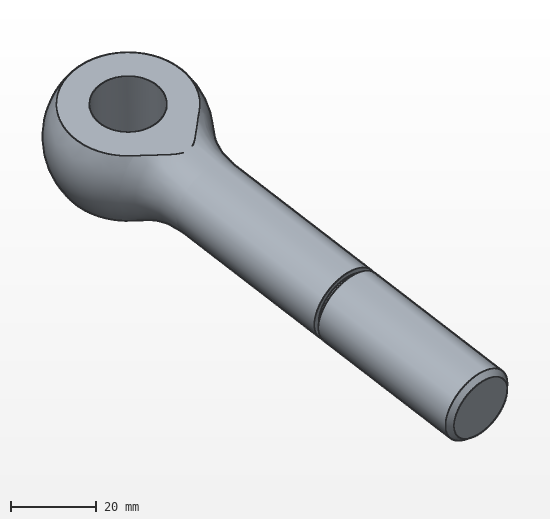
import cadquery as cq
import math

total_length = 139.9
ball_radius = 20.0
eye_thickness = 22.0
hole_diameter = 18.0
shank_radius = 10.0
neck_radius = 21.4
end_chamfer = 1.4
groove_start = 93.9
groove_width = 1.4
groove_depth = 1.4

ball_center = ball_radius
half_thickness = eye_thickness / 2

neck_center_height = shank_radius + neck_radius
center_distance = ball_radius + neck_radius
neck_run = math.sqrt(center_distance**2 - neck_center_height**2)
neck_end = ball_center + neck_run


def neck_arc_point(angle):
    """Point on the neck arc, angle measured from straight down toward the ball."""
    return (
        neck_end - neck_radius * math.sin(angle),
        neck_center_height - neck_radius * math.cos(angle),
    )


def revolved_body():
    """Ball, neck and chamfered shank turned about the X axis."""
    tangent_angle = math.asin(neck_run / center_distance)
    ball_top = (ball_center, ball_radius)
    ball_mid = (
        ball_center - ball_radius * math.cos(math.pi / 4),
        ball_radius * math.sin(math.pi / 4),
    )
    tangent_point = neck_arc_point(tangent_angle)
    front_mid = (
        ball_center + ball_radius * math.sin(tangent_angle / 2),
        ball_radius * math.cos(tangent_angle / 2),
    )
    profile = (
        cq.Workplane("XY")
        .moveTo(0, 0)
        .threePointArc(ball_mid, ball_top)
        .threePointArc(front_mid, tangent_point)
        .threePointArc(neck_arc_point(tangent_angle / 2), (neck_end, shank_radius))
        .lineTo(total_length - end_chamfer, shank_radius)
        .lineTo(total_length, shank_radius - end_chamfer)
        .lineTo(total_length, 0)
        .close()
    )
    return profile.revolve(360, (0, 0, 0), (1, 0, 0))


def flat_faced(body):
    """Keep only the slab of the eye thickness, giving flat faces above and below."""
    slab = cq.Workplane("XY").box(total_length, 2 * ball_radius, eye_thickness)
    return body.intersect(slab.translate((total_length / 2, 0, 0)))


def eye_hole():
    return (
        cq.Workplane("XY", origin=(ball_center, 0, -half_thickness))
        .circle(hole_diameter / 2)
        .extrude(eye_thickness)
    )


def shank_groove():
    """Groove with a square wall toward the ball and a sloped wall toward the free end."""
    groove_end = groove_start + groove_width
    profile = (
        cq.Workplane("XY")
        .moveTo(groove_start, shank_radius - groove_depth)
        .lineTo(groove_end, shank_radius)
        .lineTo(groove_start, shank_radius)
        .close()
    )
    return profile.revolve(360, (0, 0, 0), (1, 0, 0))


result = flat_faced(revolved_body()).cut(eye_hole()).cut(shank_groove())